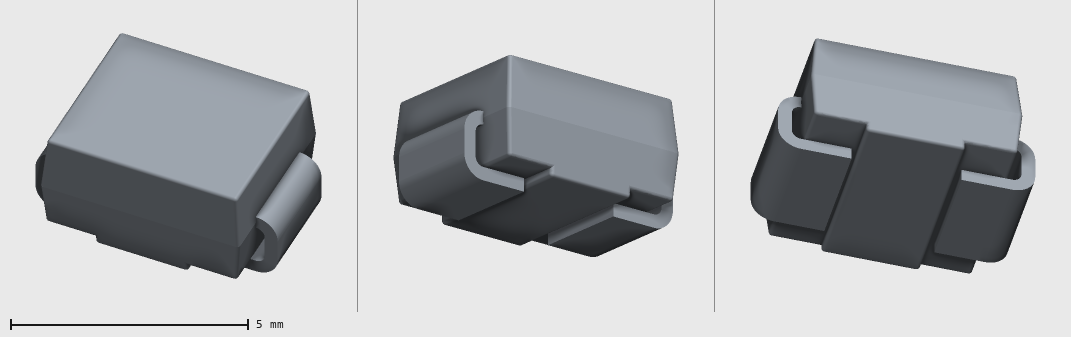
import cadquery as cq
import math

body_length = 4.605
body_width = 3.95
top_z = 2.65
parting_z = 1.405
underside_z = 0.35
pedestal_z = 0.15
pedestal_length = 2.145
draft = 5.0
edge_radius = 0.08
selection_margin = 0.005

span = 5.6
lead_width = 2.205
lead_thickness = 0.3
lead_top_z = 1.55
bend_inner_radius = 0.2
bend_outer_radius = bend_inner_radius + lead_thickness
foot_length = 1.6


def tapered_half(height):
    """Half of the moulding, narrowing away from the parting plane."""
    taper = abs(height) * math.tan(math.radians(draft))
    return (
        cq.Workplane("XY", origin=(0, 0, parting_z))
        .rect(body_length, body_width)
        .workplane(offset=height)
        .rect(body_length - 2 * taper, body_width - 2 * taper)
        .loft(ruled=True)
    )


def underside_relief(side):
    """Space above one lead foot, beside the pedestal; side is -1 or +1 along X."""
    relief_length = (span - pedestal_length) / 2
    center_x = side * (pedestal_length + relief_length) / 2
    return (
        cq.Workplane("XY", origin=(center_x, 0, 0))
        .rect(relief_length, span)
        .extrude(underside_z)
    )


def make_housing():
    upper = tapered_half(top_z - parting_z)
    upper = upper.edges("not <Z").fillet(edge_radius)
    lower = tapered_half(pedestal_z - parting_z)
    for side in (-1, 1):
        lower = lower.cut(underside_relief(side))
    reach = pedestal_length / 2 + selection_margin
    inner_corners = cq.selectors.BoxSelector(
        (-reach, -selection_margin, underside_z - selection_margin),
        (reach, selection_margin, underside_z + selection_margin),
    )
    rounded_edges = cq.selectors.InverseSelector(inner_corners)
    lower = lower.edges("not >Z").edges(rounded_edges).fillet(edge_radius)
    return upper.union(lower)


def make_lead(side, housing):
    """C-shaped strip ending on the housing wall; side is -1 or +1 along X."""
    outer_x = span / 2
    inner_x = outer_x - lead_thickness
    bend_x = outer_x - bend_outer_radius
    inside_x = bend_x - lead_thickness
    foot_end_x = outer_x - foot_length
    profile = (
        cq.Workplane("XZ", origin=(0, lead_width / 2, 0))
        .moveTo(inside_x, lead_top_z)
        .lineTo(bend_x, lead_top_z)
        .radiusArc((outer_x, lead_top_z - bend_outer_radius), bend_outer_radius)
        .lineTo(outer_x, bend_outer_radius)
        .radiusArc((bend_x, 0), bend_outer_radius)
        .lineTo(foot_end_x, 0)
        .lineTo(foot_end_x, lead_thickness)
        .lineTo(bend_x, lead_thickness)
        .radiusArc((inner_x, bend_outer_radius), -bend_inner_radius)
        .lineTo(inner_x, lead_top_z - bend_outer_radius)
        .radiusArc((bend_x, lead_top_z - lead_thickness), -bend_inner_radius)
        .lineTo(inside_x, lead_top_z - lead_thickness)
        .close()
    )
    lead = profile.extrude(lead_width)
    if side < 0:
        lead = lead.mirror("YZ")
    return lead.cut(housing)


housing = make_housing()
leads = [make_lead(side, housing) for side in (-1, 1)]

result = cq.Compound.makeCompound([housing.val(), *[lead.val() for lead in leads]])